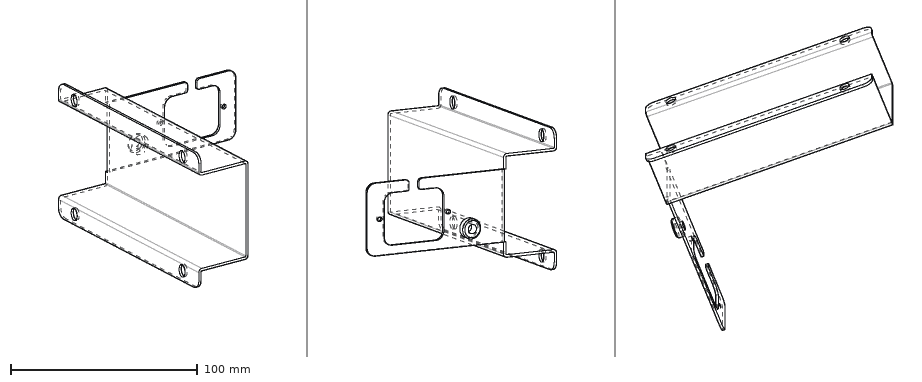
import cadquery as cq
thickness = 1.5
inner_bend_radius = 0.5
outer_bend_radius = inner_bend_radius + thickness

channel_length = 130.0
channel_depth = 32.5
channel_outer_height = 57.0
overall_height = 78.0
flange_corner_radius = 5.0

slot_width = 5.4
slot_height = 7.0
slot_spacing = 100.0
first_slot_x = 14.5
slot_edge_offset = 6.0

overall_depth = 116.0
tab_height = 40.0
tab_corner_radius = 5.0

window_length = 36.5
window_height = 28.8
window_end_margin = 10.5
window_bottom_margin = 5.0
window_corner_radius = 5.0
gap_width = 6.0
gap_outer_corner_radius = 2.0
gap_inner_corner_radius = 1.5

small_hole_diameter = 2.5
small_hole_spacing = 42.0

nut_diameter = 11.05
nut_height = 4.08
nut_chamfer = 0.85
nut_bore = 5.0
nut_y = 53.8
nut_z = -10.0

half_height = overall_height / 2
leg_outer_z = channel_outer_height / 2
leg_inner_z = leg_outer_z - thickness
half_tab = tab_height / 2
web_front_y = channel_depth - thickness
window_center_y = overall_depth - window_end_margin - window_length / 2
window_bottom_z = -half_tab + window_bottom_margin
window_top_z = window_bottom_z + window_height
window_center_z = window_bottom_z + window_height / 2


def box(x_range, y_range, z_range):
    """Axis-aligned block between pairs of limits."""
    (x0, x1), (y0, y1), (z0, z1) = x_range, y_range, z_range
    return cq.Workplane("XY").box(x1 - x0, y1 - y0, z1 - z0, centered=False).translate((x0, y0, z0))


def edges_at(body, direction, points):
    """Edges parallel to an axis whose middles lie at the given points."""
    found = cq.Workplane("XY").newObject([body.val()])
    edges = []
    for point in points:
        edges += found.edges("|" + direction).edges(cq.NearestToPointSelector(point)).vals()
    return found.newObject(edges)


def make_channel():
    """Bent hat section with rounded flange corners."""
    mid_x = channel_length / 2
    length = (0, channel_length)
    body = box(length, (web_front_y, channel_depth), (-leg_outer_z, leg_outer_z))
    inside_bends = []
    outside_bends = []
    for side in (-1, 1):
        leg_z = sorted((side * leg_inner_z, side * leg_outer_z))
        flange_z = sorted((side * leg_inner_z, side * half_height))
        body = body.union(box(length, (0, channel_depth), leg_z))
        body = body.union(box(length, (0, thickness), flange_z))
        inside_bends += [(mid_x, web_front_y, side * leg_inner_z), (mid_x, thickness, side * leg_outer_z)]
        outside_bends += [(mid_x, channel_depth, side * leg_outer_z), (mid_x, 0, side * leg_inner_z)]
    body = edges_at(body, "X", inside_bends).fillet(inner_bend_radius)
    body = edges_at(body, "X", outside_bends).fillet(outer_bend_radius)
    corners = [(x, thickness / 2, z) for x in length for z in (-half_height, half_height)]
    return edges_at(body, "Y", corners).fillet(flange_corner_radius)


def cut_flange_slots(body):
    """Four elliptical slots, one near each end of each flange."""
    slot_x = (first_slot_x, first_slot_x + slot_spacing)
    slot_z = half_height - slot_edge_offset
    centers = [(x, z) for x in slot_x for z in (-slot_z, slot_z)]
    outlines = cq.Workplane("XZ").pushPoints(centers).ellipse(slot_width / 2, slot_height / 2)
    return body.cut(outlines.extrude(-thickness))


def add_tab(body):
    """Flat tab reaching back from the web, flush with the X = 0 end."""
    plate = box((0, thickness), (web_front_y, overall_depth), (-half_tab, half_tab))
    plate = plate.edges("|X and >Y").fillet(tab_corner_radius)
    return body.union(plate)


def tab_bend_cylinder(radius):
    """Cylinder about the axis of the tab bend, as tall as the tab."""
    axis = (outer_bend_radius, web_front_y + outer_bend_radius)
    return cq.Workplane("XY", origin=(0, 0, -half_tab)).center(*axis).circle(radius).extrude(tab_height)


def round_tab_bend(body):
    """Form the bend between the web and the tab over the height of the tab."""
    tab_span = (-half_tab, half_tab)
    bend_end_y = web_front_y + outer_bend_radius
    outer_corner = box((0, outer_bend_radius), (web_front_y, bend_end_y), tab_span)
    inner_corner = box((thickness, outer_bend_radius), (channel_depth, bend_end_y), tab_span)
    body = body.cut(outer_corner.cut(tab_bend_cylinder(outer_bend_radius)))
    return body.union(inner_corner.cut(tab_bend_cylinder(inner_bend_radius)))


def cut_window(body):
    """Rounded window and the gap that opens it to the top edge of the tab."""
    through = (0, thickness)
    window_y = (window_center_y - window_length / 2, window_center_y + window_length / 2)
    window = box(through, window_y, (window_bottom_z, window_top_z))
    window = window.edges("|X").fillet(window_corner_radius)
    gap_y = (window_center_y - gap_width / 2, window_center_y + gap_width / 2)
    gap = box(through, gap_y, (window_center_z, half_tab))
    body = body.cut(window).cut(gap)
    outer_corners = [(thickness / 2, y, half_tab) for y in gap_y]
    inner_corners = [(thickness / 2, y, window_top_z) for y in gap_y]
    body = edges_at(body, "X", outer_corners).fillet(gap_outer_corner_radius)
    return edges_at(body, "X", inner_corners).fillet(gap_inner_corner_radius)


def cut_small_holes(body):
    """Two holes through the tab, centered about the window."""
    half_spacing = small_hole_spacing / 2
    centers = [(window_center_y - half_spacing, 0), (window_center_y + half_spacing, 0)]
    holes = cq.Workplane("YZ").pushPoints(centers).circle(small_hole_diameter / 2).extrude(thickness)
    return body.cut(holes)


def add_nut(body):
    """Chamfered round nut with its bore continuing through the tab."""
    seat = cq.Workplane("YZ").center(nut_y, nut_z)
    nut = seat.circle(nut_diameter / 2).extrude(-nut_height).faces("<X").chamfer(nut_chamfer)
    bore = seat.workplane(offset=-nut_height).circle(nut_bore / 2).extrude(nut_height + thickness)
    return body.union(nut).cut(bore)


result = make_channel()
result = cut_flange_slots(result)
result = add_tab(result)
result = round_tab_bend(result)
result = cut_window(result)
result = cut_small_holes(result)
result = add_nut(result)